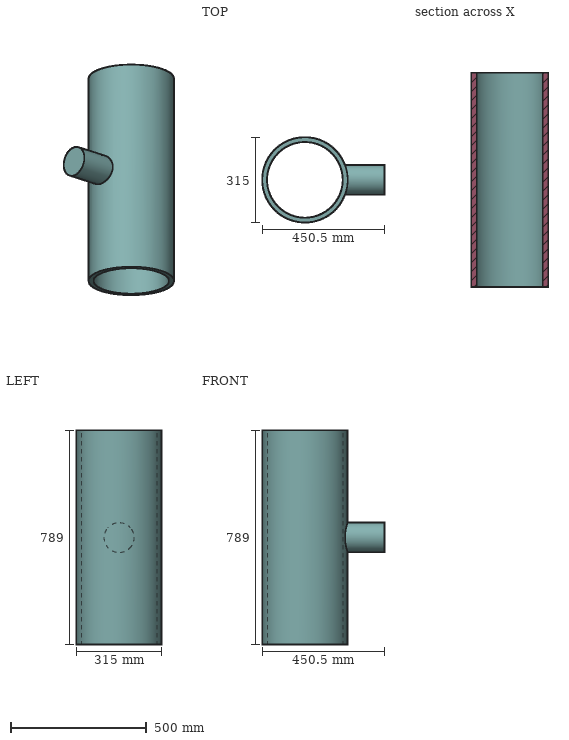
import cadquery as cq

main_outer_diameter = 315.0
main_wall = 18.7
main_length = 789.0
main_bore_diameter = main_outer_diameter - 2 * main_wall

branch_diameter = 110.0
branch_reach = 293.0


def upright_cylinder(diameter):
    """Cylinder over the full length of the main pipe, centred on the origin."""
    return cq.Workplane("XY").circle(diameter / 2).extrude(main_length / 2, both=True)


def branch_stub():
    """Cylinder from the main pipe axis out to the branch end."""
    return cq.Workplane("YZ").circle(branch_diameter / 2).extrude(branch_reach)


outer_body = upright_cylinder(main_outer_diameter).union(branch_stub())
result = outer_body.cut(upright_cylinder(main_bore_diameter))